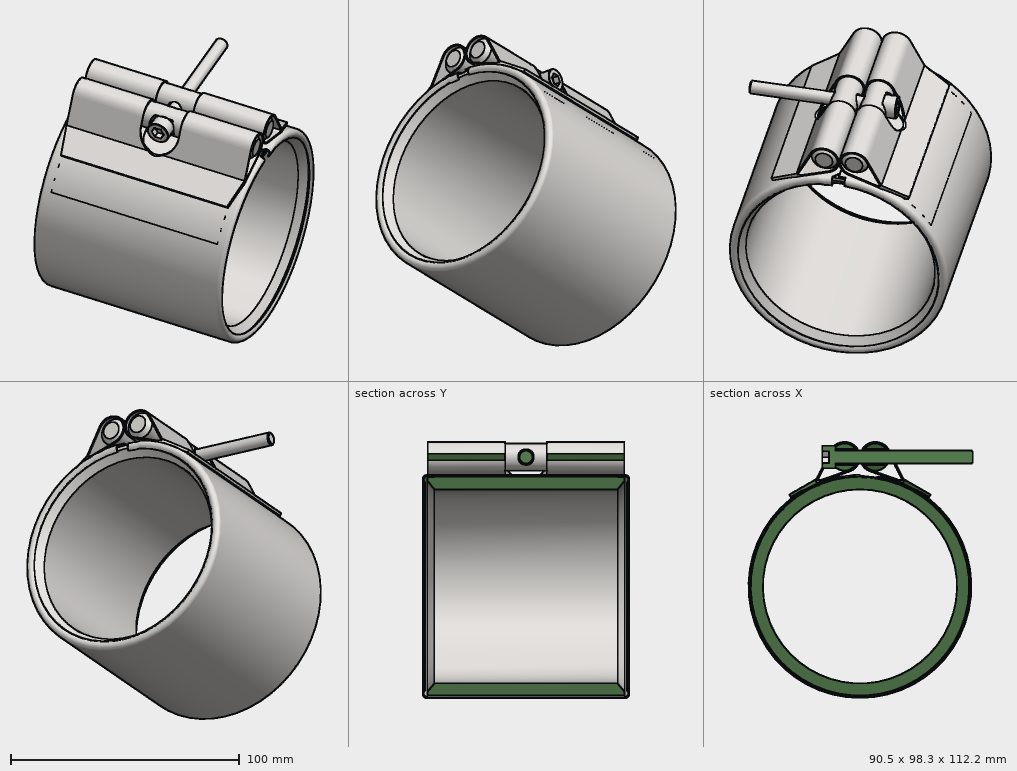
import cadquery as cq
import math

sheet = 0.5
lug_sheet = 0.7

overall_height = 112.2
overall_width = 90.5

band_outer_radius = 48.9
lip_radius = 2.0
lip_turn = 120
lip_straight = 1.1

band_end_lip_start = 3.0
joggle_start = 9.0
joggle_end = 6.5
tongue_lip_end = 2.9
tongue_end_angle = 57.2
tongue_half_width = 40.2
tongue_clearance = 0.06

gasket_bore_radius = 84.8 / 2
gasket_half_width = 43.2
gasket_end_radius = 46.2
gasket_cone_length = 3.1

bar_radius = 12.0 / 2
bar_y = 6.7
bar_chamfer = 2.1
lug_half_width = 43.1

pad_angle = 29.8
pad_half_length = 6.8
pad_end_half_width = 40.2
window_width = 18.3
window_bottom = 46.3

screw_diameter = 5.8
screw_tip_y = 49.4
screw_tip_chamfer = 0.6
clearance_hole = 7.0
spotface_diameter = 12.0
spotface_offset = 3.9
head_diameter = 10.0
head_height = 6.0
head_chamfer = 0.2
hex_across_flats = 5.0
hex_depth = 3.0

band_half_width = overall_width / 2 - lip_radius
joggle_drop = sheet + tongue_clearance
tongue_outer_radius = band_outer_radius - joggle_drop
tongue_inner_radius = tongue_outer_radius - sheet
gasket_outer_radius = tongue_inner_radius
overall_top = overall_height - band_outer_radius
loop_radius = bar_radius + lug_sheet
bar_z = overall_top - loop_radius


def angle_at(y):
    """Angle in degrees from the top toward -Y of a point of the band at the given y."""
    return -math.degrees(math.asin(y / band_outer_radius))


def polar(radius, degrees):
    """Point at a radius and an angle measured from the vertical axis."""
    turn = math.radians(degrees)
    return cq.Vector(radius * math.sin(turn), radius * math.cos(turn))


def xy(point):
    return (point.x, point.y)


def channel_profile(outer_radius):
    """Cross-section of the band in the X-Z plane: a thin sheet with a curled lip on each side."""
    lip_inner = lip_radius - sheet
    center = cq.Vector(band_half_width, outer_radius - lip_radius)
    run = polar(lip_straight, lip_turn + 90)

    def right_side(radius):
        return [
            center + polar(radius, 0),
            center + polar(radius, lip_turn / 2),
            center + polar(radius, lip_turn),
            center + polar(radius, lip_turn) + run,
        ]

    def left(point):
        return (-point.x, point.y)

    outer = right_side(lip_radius)
    inner = right_side(lip_inner)
    return (
        cq.Workplane("XZ")
        .moveTo(*left(outer[0])).lineTo(*xy(outer[0]))
        .threePointArc(xy(outer[1]), xy(outer[2])).lineTo(*xy(outer[3]))
        .lineTo(*xy(inner[3])).lineTo(*xy(inner[2]))
        .threePointArc(xy(inner[1]), xy(inner[0]))
        .lineTo(*left(inner[0]))
        .threePointArc(left(inner[1]), left(inner[2])).lineTo(*left(inner[3]))
        .lineTo(*left(outer[3])).lineTo(*left(outer[2]))
        .threePointArc(left(outer[1]), left(outer[0]))
        .close()
    )


def sheet_profile(outer_radius, half_width):
    return (
        cq.Workplane("XZ")
        .center(0, outer_radius - sheet / 2)
        .rect(2 * half_width, sheet)
    )


def sector(profile, start, end):
    """Revolve a profile about X between two angles from the top toward -Y."""
    axis_height = profile.plane.toLocalCoords(cq.Vector(0, 0, 0)).y
    swept = profile.revolve(end - start, (0, axis_height, 0), (1, axis_height, 0))
    return swept.rotate((0, 0, 0), (1, 0, 0), start)


def joggle():
    """Step that carries the rear band end inward to the level of the tongue."""
    ends = [
        (band_outer_radius, angle_at(joggle_start)),
        (tongue_outer_radius, angle_at(joggle_end)),
    ]
    wires = [
        channel_profile(radius).val().rotate(cq.Vector(0, 0, 0), cq.Vector(1, 0, 0), angle)
        for radius, angle in ends
    ]
    return cq.Workplane(cq.Solid.makeLoft(wires, True))


def tongue():
    """Lipless sheet that bridges the gap, narrows, and runs under the front band end."""
    start = angle_at(tongue_lip_end)
    strip = sector(sheet_profile(tongue_outer_radius, band_half_width), start, tongue_end_angle)
    far_y = -2 * band_outer_radius
    outline = [
        (band_half_width, joggle_start),
        (band_half_width, tongue_lip_end),
        (tongue_half_width, 0),
        (tongue_half_width, far_y),
    ]
    mirrored = [(-x, y) for x, y in reversed(outline)]
    plan = cq.Workplane("XY").polyline(outline + mirrored).close().extrude(overall_top)
    return strip.intersect(plan)


def make_band():
    lips_start = angle_at(-band_end_lip_start)
    rear_end = 360 + angle_at(joggle_start)
    ring = sector(channel_profile(band_outer_radius), lips_start, rear_end)
    front_end = sector(sheet_profile(band_outer_radius, band_half_width), 0, lips_start)
    rear_step = sector(
        channel_profile(tongue_outer_radius), angle_at(joggle_end), angle_at(tongue_lip_end)
    )
    return ring.union(front_end).union(joggle()).union(rear_step).union(tongue())


def make_gasket():
    cone_end = gasket_half_width - gasket_cone_length
    return (
        cq.Workplane("XZ")
        .polyline([
            (-gasket_half_width, gasket_outer_radius),
            (gasket_half_width, gasket_outer_radius),
            (gasket_half_width, gasket_end_radius),
            (cone_end, gasket_bore_radius),
            (-cone_end, gasket_bore_radius),
            (-gasket_half_width, gasket_end_radius),
        ])
        .close()
        .revolve(360, (0, 0, 0), (1, 0, 0))
    )


def make_lug():
    """Strap on the +Y side, folded around its bar and lying double on the band."""
    bar = cq.Vector(bar_y, bar_z)
    pad_direction = polar(1, pad_angle + 90)
    pad_normal = polar(1, pad_angle)
    pad_end_bottom = pad_normal * band_outer_radius + pad_direction * pad_half_length
    pad_end_top = pad_end_bottom + pad_normal * (2 * lug_sheet)
    bend_out = pad_end_top - pad_direction * (2 * pad_half_length)

    to_bend = bend_out - bar
    bend_bearing = math.degrees(math.atan2(to_bend.x, to_bend.y))
    outer_angle = bend_bearing - math.degrees(math.acos(loop_radius / to_bend.Length))
    leg_normal = polar(1, outer_angle)
    bend_in = bend_out - (pad_normal + leg_normal) * (lug_sheet / (1 + pad_normal.dot(leg_normal)))

    bar_bearing = math.degrees(math.atan2(bar.x, bar.y))
    inner_angle = bar_bearing + math.degrees(
        math.acos((loop_radius + band_outer_radius) / bar.Length)
    )
    loop_middle = (outer_angle + inner_angle - 180) / 2

    outer_outline = (
        cq.Workplane("YZ")
        .moveTo(*xy(pad_end_top))
        .lineTo(*xy(bend_out))
        .lineTo(*xy(bar + polar(loop_radius, outer_angle)))
        .threePointArc(
            xy(bar + polar(loop_radius, loop_middle)),
            xy(bar + polar(loop_radius, inner_angle - 180)),
        )
        .lineTo(*xy(polar(band_outer_radius, inner_angle)))
        .threePointArc(
            xy(polar(band_outer_radius, (inner_angle + pad_angle) / 2)),
            xy(polar(band_outer_radius, pad_angle)),
        )
        .lineTo(*xy(pad_end_bottom))
        .close()
        .extrude(lug_half_width, both=True)
    )
    inside = (
        cq.Workplane("YZ")
        .moveTo(*xy(bend_in))
        .lineTo(*xy(bar + polar(bar_radius, outer_angle)))
        .threePointArc(
            xy(bar + polar(bar_radius, loop_middle)),
            xy(bar + polar(bar_radius, inner_angle - 180)),
        )
        .lineTo(*xy(polar(band_outer_radius + lug_sheet, inner_angle)))
        .close()
        .extrude(lug_half_width, both=True)
    )

    corner = (
        cq.Workplane("XY")
        .polyline([
            (lug_half_width, bend_out.x),
            (lug_half_width, pad_end_top.x),
            (pad_end_half_width, pad_end_top.x),
        ])
        .close()
        .extrude(overall_top)
    )

    window_radius = window_width / 2
    window_center_z = window_bottom + window_radius
    leg_slot = (
        cq.Workplane("XZ", origin=(0, pad_end_top.x, window_center_z))
        .circle(window_radius)
        .extrude(pad_end_top.x)
    )
    plan_slot = (
        cq.Workplane("XY", origin=(0, bend_out.x - window_radius, 0))
        .circle(window_radius)
        .extrude(window_center_z)
    )
    plan_slot_side = cq.Workplane("XY").box(
        window_width, bend_out.x - window_radius, window_center_z, centered=(True, False, False)
    )
    loop_gap = (
        cq.Workplane("XY", origin=(0, 0, window_center_z))
        .box(window_width, pad_end_top.x, window_center_z, centered=(True, False, False))
    )
    window = leg_slot.union(loop_gap).union(plan_slot).union(plan_slot_side)
    strap = outer_outline.cut(inside).cut(window)
    return strap.cut(corner).cut(corner.mirror("YZ"))


def make_bar(y):
    return (
        cq.Workplane("YZ", origin=(-lug_half_width, y, bar_z))
        .circle(bar_radius)
        .extrude(2 * lug_half_width)
        .faces("<X or >X")
        .chamfer(bar_chamfer)
    )


def along_screw(start_y, end_y, diameter):
    """Cylinder on the screw axis between two y positions."""
    return (
        cq.Workplane("XZ", origin=(0, end_y, bar_z))
        .circle(diameter / 2)
        .extrude(end_y - start_y)
    )


def make_front_bar():
    seat_y = -bar_y - spotface_offset
    bar = make_bar(-bar_y)
    bar = bar.cut(along_screw(seat_y - bar_radius, seat_y, spotface_diameter))
    return bar.cut(along_screw(seat_y, 0, clearance_hole))


def make_rear_bar():
    return make_bar(bar_y).cut(along_screw(0, bar_y + bar_radius, clearance_hole))


def make_screw():
    seat_y = -bar_y - spotface_offset
    head_y = seat_y - head_height
    head = along_screw(head_y, seat_y, head_diameter).faces("<Y").chamfer(head_chamfer)
    shank = along_screw(seat_y, screw_tip_y, screw_diameter).faces(">Y").chamfer(screw_tip_chamfer)
    socket = (
        cq.Workplane("XZ", origin=(0, head_y + hex_depth, bar_z))
        .polygon(6, hex_across_flats / math.cos(math.pi / 6))
        .extrude(hex_depth)
    )
    return head.union(shank).cut(socket)


band = make_band()
gasket = make_gasket()
rear_lug = make_lug()
front_lug = rear_lug.mirror("XZ")
front_bar = make_front_bar()
rear_bar = make_rear_bar()
screw = make_screw()

bodies = [band, gasket, rear_lug, front_lug, front_bar, rear_bar, screw]
result = cq.Compound.makeCompound([body.solids().val() for body in bodies])